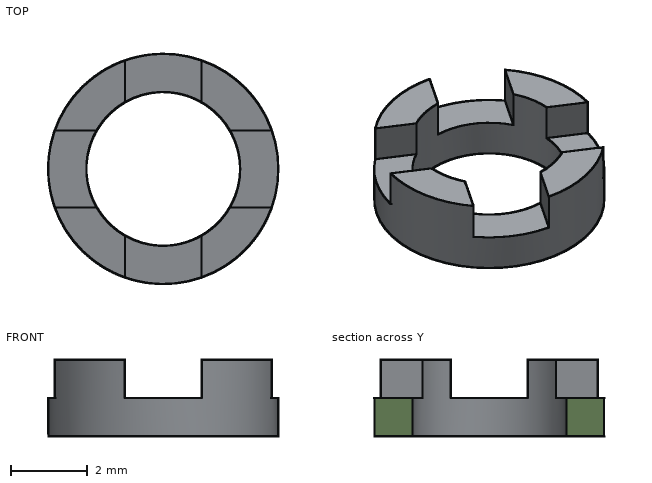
import cadquery as cq

outer_diameter = 6.0
inner_diameter = outer_diameter * 2 / 3
height = outer_diameter / 3
slot_width = outer_diameter / 3
slot_depth = height / 2

ring = (
    cq.Workplane("XY")
    .circle(outer_diameter / 2)
    .circle(inner_diameter / 2)
    .extrude(height)
)


def cross_slot(length_x, length_y):
    """Block that cuts a slot across the full ring, open at the top face."""
    return (
        cq.Workplane("XY")
        .workplane(offset=height - slot_depth)
        .rect(length_x, length_y)
        .extrude(slot_depth)
    )


slot_length = outer_diameter * 1.2
result = ring.cut(cross_slot(slot_length, slot_width)).cut(cross_slot(slot_width, slot_length))